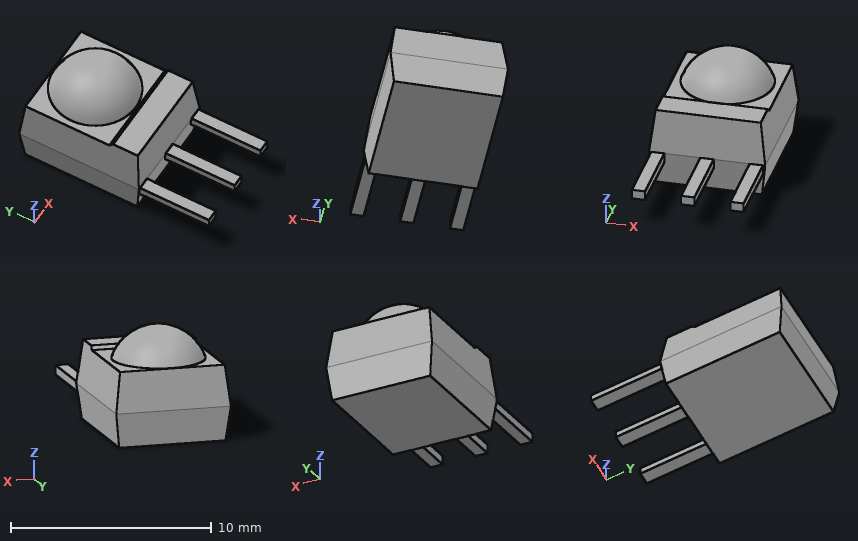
import cadquery as cq

body_width = 6.0
body_length = 6.95
parting_height = 1.81
top_height = 4.11
bottom_side_inset = 0.22
bottom_end_inset = 0.22
top_side_inset = 0.28
top_end_inset = 0.23

deck_height = 3.91
ridge_slope_top_y = 1.66
ridge_slope_run = 0.2

lens_radius = 2.5
lens_top = 5.6
lens_y = 4.3

lead_count = 3
lead_pitch = 2.54
lead_width = 0.69
lead_thickness = 0.5
total_length = 10.95
lead_length = total_length - body_length
lead_embed = 0.33


def tapered_outline(plane, start, end, bottom_inset, top_inset):
    """Six-sided body outline that narrows above and below the parting line."""
    return cq.Workplane(plane).polyline([
        (start + bottom_inset, 0),
        (end - bottom_inset, 0),
        (end, parting_height),
        (end - top_inset, top_height),
        (start + top_inset, top_height),
        (start, parting_height),
    ]).close()


def make_body():
    half_width = body_width / 2
    across = tapered_outline("XZ", -half_width, half_width, bottom_side_inset, top_side_inset)
    along = tapered_outline("YZ", 0, body_length, bottom_end_inset, top_end_inset)
    return across.extrude(-body_length).intersect(along.extrude(half_width, both=True))


def make_deck_cut():
    """Material removed behind the ridge, down to the deck."""
    return (
        cq.Workplane("YZ")
        .polyline([
            (ridge_slope_top_y, top_height),
            (ridge_slope_top_y + ridge_slope_run, deck_height),
            (body_length, deck_height),
            (body_length, top_height),
        ])
        .close()
        .extrude(body_width / 2, both=True)
    )


def make_lens():
    """Part of the sphere that stands above the deck."""
    sphere = cq.Workplane("XY").sphere(lens_radius).translate((0, lens_y, lens_top - lens_radius))
    above_deck = cq.Workplane("XY", origin=(0, lens_y, deck_height)).box(
        2 * lens_radius, 2 * lens_radius, lens_top, centered=(True, True, False)
    )
    return sphere.intersect(above_deck)


def make_lead(x):
    return cq.Workplane("XY", origin=(x, -lead_length, parting_height - lead_thickness)).box(
        lead_width, lead_length + lead_embed, lead_thickness, centered=(True, False, False)
    )


result = make_body().cut(make_deck_cut()).union(make_lens())
for index in range(lead_count):
    lead_x = (index - (lead_count - 1) / 2) * lead_pitch
    result = result.union(make_lead(lead_x))